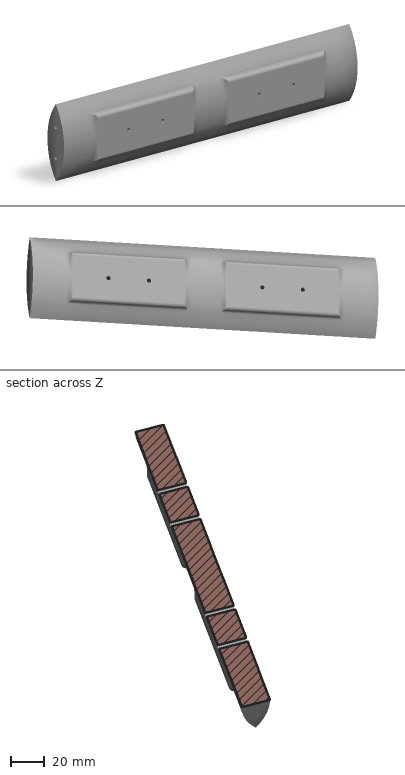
import cadquery as cq
import math

bar_length = 210.0
bar_height = 50.0
bar_width = 17.8
flank_radius = (bar_height**2 + bar_width**2) / (4 * bar_width)
flank_center_x = bar_width / 2 - flank_radius

pads_per_side = 2
pad_length = 70.4
pad_height = 30.0
pad_face_x = 9.0
pad_gap = (bar_length - pads_per_side * pad_length) / (pads_per_side + 1)
pad_pitch = pad_length + pad_gap
pad_centers_y = [(i - (pads_per_side - 1) / 2) * pad_pitch for i in range(pads_per_side)]
edge_radius = 2.0

root_overlap = 0.05
root_radius = flank_radius - root_overlap

hole_diameter = 2.5
pad_hole_spacing = 24.5
end_hole_spacing = 20.0
end_hole_depth = 20.0


def make_bar():
    tip = bar_height / 2
    return (
        cq.Workplane("XZ")
        .moveTo(0, -tip)
        .threePointArc((bar_width / 2, 0), (0, tip))
        .threePointArc((-bar_width / 2, 0), (0, -tip))
        .close()
        .extrude(bar_length / 2, both=True)
    )


round_x = pad_face_x - edge_radius
round_z = pad_height / 2 - edge_radius
round_distance = math.hypot(round_x - flank_center_x, round_z)
fillet_distance = root_radius + edge_radius
angle_between_cosine = (round_distance**2 + fillet_distance**2 - (2 * edge_radius) ** 2) / (
    2 * round_distance * fillet_distance
)
root_angle = math.atan2(round_z, round_x - flank_center_x) + math.acos(angle_between_cosine)
fillet_x = flank_center_x + fillet_distance * math.cos(root_angle)
fillet_z = fillet_distance * math.sin(root_angle)
root_x = flank_center_x + root_radius * math.cos(root_angle)
root_z = root_radius * math.sin(root_angle)


def make_long_profile():
    """Pad section across the bar, extruded well past both pad ends."""
    join_x = (round_x + fillet_x) / 2
    join_z = (round_z + fillet_z) / 2
    join_angle = math.atan2(fillet_z - round_z, fillet_x - round_x)
    round_mid_x = round_x + edge_radius * math.cos(join_angle / 2)
    round_mid_z = round_z + edge_radius * math.sin(join_angle / 2)
    fillet_mid_angle = (join_angle + root_angle) / 2
    fillet_mid_x = fillet_x - edge_radius * math.cos(fillet_mid_angle)
    fillet_mid_z = fillet_z - edge_radius * math.sin(fillet_mid_angle)
    return (
        cq.Workplane("XZ")
        .moveTo(0, -root_z)
        .lineTo(root_x, -root_z)
        .threePointArc((fillet_mid_x, -fillet_mid_z), (join_x, -join_z))
        .threePointArc((round_mid_x, -round_mid_z), (pad_face_x, -round_z))
        .lineTo(pad_face_x, round_z)
        .threePointArc((round_mid_x, round_mid_z), (join_x, join_z))
        .threePointArc((fillet_mid_x, fillet_mid_z), (root_x, root_z))
        .lineTo(0, root_z)
        .close()
        .extrude(pad_length, both=True)
    )


def end_section(z):
    """Lengthwise pad section at height z: each end is an S-curve from the face down to the flank."""
    flank_x = flank_center_x + math.sqrt(root_radius**2 - z**2)
    step = pad_face_x - flank_x
    turn = math.acos(1 - step / (2 * edge_radius))
    run = edge_radius * math.sin(turn)
    mid_drop = edge_radius * (1 - math.cos(turn / 2))
    mid_run = run - edge_radius * math.sin(turn / 2)
    middle_x = pad_face_x - step / 2
    end_y = pad_length / 2
    return (
        cq.Workplane("XY", origin=(0, 0, z))
        .moveTo(0, -end_y - run)
        .lineTo(flank_x, -end_y - run)
        .threePointArc((flank_x + mid_drop, -end_y - mid_run), (middle_x, -end_y))
        .threePointArc((pad_face_x - mid_drop, -end_y + mid_run), (pad_face_x, -end_y + run))
        .lineTo(pad_face_x, end_y - run)
        .threePointArc((pad_face_x - mid_drop, end_y - mid_run), (middle_x, end_y))
        .threePointArc((flank_x + mid_drop, end_y + mid_run), (flank_x, end_y + run))
        .lineTo(0, end_y + run)
        .close()
        .val()
    )


def make_pad():
    """Pad on the +X flank; its end blends shrink toward mid-height, where the step to the flank vanishes."""
    section_count = 6
    sections = [end_section(root_z * i / (section_count - 1)) for i in range(section_count)]
    upper_half = cq.Workplane(obj=cq.Solid.makeLoft(sections))
    blended = upper_half.union(upper_half.mirror("XY"))
    return blended.intersect(make_long_profile())


def make_pad_holes(center_y):
    return (
        cq.Workplane("YZ")
        .pushPoints([(center_y - pad_hole_spacing / 2, 0), (center_y + pad_hole_spacing / 2, 0)])
        .circle(hole_diameter / 2)
        .extrude(bar_width, both=True)
    )


def make_end_holes():
    return (
        cq.Workplane("XZ", origin=(0, -bar_length / 2, 0))
        .pushPoints([(0, -end_hole_spacing / 2), (0, end_hole_spacing / 2)])
        .circle(hole_diameter / 2)
        .extrude(-end_hole_depth)
    )


result = make_bar()
right_pad = make_pad()
left_pad = right_pad.mirror("YZ")
for pad_y in pad_centers_y:
    for pad in (right_pad, left_pad):
        result = result.union(pad.translate((0, pad_y, 0)))
for pad_y in pad_centers_y:
    result = result.cut(make_pad_holes(pad_y))
result = result.cut(make_end_holes())